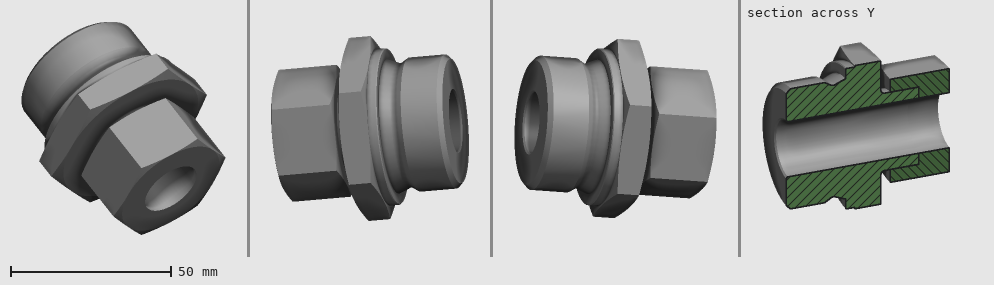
import cadquery as cq
import math

stud_length = 20.0
collar_end = 23.0
hex_end = 32.0
nut_start = 35.0
nut_end = 55.0

stud_radius = 21.0
stud_chamfer = 1.5
thread_end = 13.0
groove_bottom_x = 15.9
groove_bottom_radius = 19.5
groove_arc_radius = 1.75

collar_radius = 24.55
collar_chamfer = 0.3
body_flats = 50.0
nut_flats = 36.0
hex_chamfer_angle = math.radians(15)

neck_radius = 13.55
neck_fillet = 1.15
neck_depth_in_nut = 9.8
neck_end = nut_start + neck_depth_in_nut
bore_radius = 9.5
bore_chamfer = 0.5


def cylinder(radius, start, end):
    """Round bar along X."""
    return cq.Workplane("YZ", origin=(start, 0, 0)).circle(radius).extrude(end - start)


def chamfered_hexagon(flats, start, end):
    """Hexagonal bar along X with flats facing +Z and -Z and its corners turned off at both ends."""
    corner_radius = flats / math.sqrt(3)
    corner_drop = corner_radius - flats / 2
    corner_setback = corner_drop * math.tan(hex_chamfer_angle)
    bar = (
        cq.Workplane("YZ", origin=(start, 0, 0))
        .polygon(6, 2 * corner_radius)
        .extrude(end - start)
    )
    envelope = (
        cq.Workplane("XY")
        .moveTo(start, 0)
        .lineTo(start, flats / 2)
        .lineTo(start + corner_setback, corner_radius)
        .lineTo(end - corner_setback, corner_radius)
        .lineTo(end, flats / 2)
        .lineTo(end, 0)
        .close()
        .revolve(360, (0, 0, 0), (1, 0, 0))
    )
    return bar.intersect(envelope)


def groove_arc_point(angle):
    """Point on the groove's rounded bottom, at an angle from the lowest point towards the collar."""
    x = groove_bottom_x + groove_arc_radius * math.sin(angle)
    radius = groove_bottom_radius + groove_arc_radius * (1 - math.cos(angle))
    return x, radius


def groove_side_angle(run):
    """Slope of the cone that is tangent to the groove arc and reaches the stud radius after an axial run."""
    rise = groove_bottom_radius + groove_arc_radius - stud_radius
    return math.asin(groove_arc_radius / math.hypot(run, rise)) - math.atan2(rise, run)


def make_turned_stud():
    """Threaded stud, relief groove and collar turned as one profile."""
    thread_side_angle = groove_side_angle(groove_bottom_x - thread_end)
    collar_side_angle = groove_side_angle(stud_length - groove_bottom_x)
    return (
        cq.Workplane("XY")
        .moveTo(0, 0)
        .lineTo(0, stud_radius - stud_chamfer)
        .lineTo(stud_chamfer, stud_radius)
        .lineTo(thread_end, stud_radius)
        .lineTo(*groove_arc_point(-thread_side_angle))
        .threePointArc(groove_arc_point(0), groove_arc_point(collar_side_angle))
        .lineTo(stud_length, stud_radius)
        .lineTo(stud_length, collar_radius - collar_chamfer)
        .lineTo(stud_length + collar_chamfer, collar_radius)
        .lineTo(collar_end, collar_radius)
        .lineTo(collar_end, 0)
        .close()
        .revolve(360, (0, 0, 0), (1, 0, 0))
    )


def make_neck():
    """Neck behind the hexagon, with a concave fillet at its root."""
    arc_middle = neck_fillet * (1 - math.sqrt(0.5))
    return (
        cq.Workplane("XY")
        .moveTo(hex_end, 0)
        .lineTo(hex_end, neck_radius + neck_fillet)
        .threePointArc(
            (hex_end + arc_middle, neck_radius + arc_middle),
            (hex_end + neck_fillet, neck_radius),
        )
        .lineTo(neck_end, neck_radius)
        .lineTo(neck_end, 0)
        .close()
        .revolve(360, (0, 0, 0), (1, 0, 0))
    )


def make_body():
    """Fitting body: stud, collar, hexagon and neck around a through bore."""
    body = make_turned_stud()
    body = body.union(chamfered_hexagon(body_flats, collar_end, hex_end))
    body = body.union(make_neck())
    body = body.cut(cylinder(bore_radius, 0, neck_end))
    mouth = body.faces("<X").edges(cq.selectors.RadiusNthSelector(0))
    return mouth.chamfer(bore_chamfer)


def make_nut():
    """Union nut with a recess that fits the neck and a through bore."""
    nut = chamfered_hexagon(nut_flats, nut_start, nut_end)
    nut = nut.cut(cylinder(neck_radius, nut_start, neck_end))
    return nut.cut(cylinder(bore_radius, neck_end, nut_end))


body = make_body()
nut = make_nut()

result = cq.Compound.makeCompound([body.val(), nut.val()])